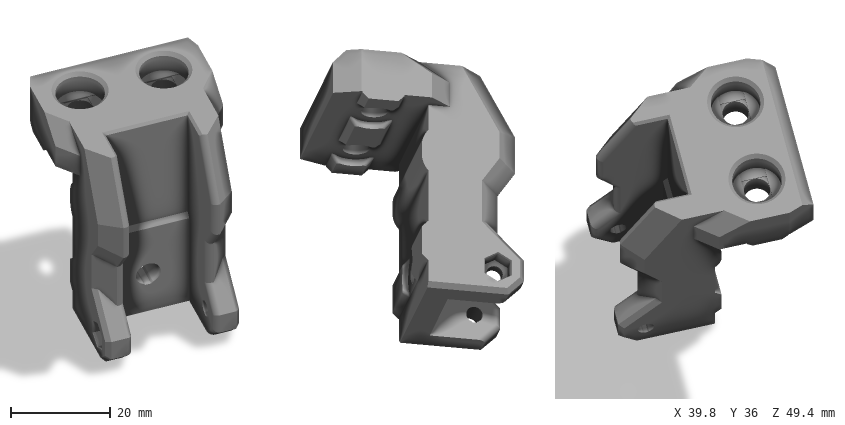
import cadquery as cq
import math

HEIGHT = 49.4
LENGTH = 39.75
HEAD_WIDTH = 36.0

BODY_WIDTH = 28.75
FRONT_X = 19.95
WEB_BACK_X = 24.1
LEDGE_DEPTH = 1.0
CHANNEL_WIDTH = 17.6
CHANNEL_CHAMFER = 0.55

CHEEK_BEVEL = 4.0
LUG_CHAMFER = 1.0
INNER_FILLET = 1.25
CHEEK_TOP_X = 31.4
CHEEK_NOSE_X = 38.6
CHEEK_NOSE_TOP_Z = 36.45
CHEEK_NOSE_BOTTOM_Z = 28.45
CHEEK_WAIST_X = 34.98
CHEEK_WAIST_Z = 23.1
LUG_TOP_Z = 7.85
LUG_FOOT = 3.2
OVERRUN = 9.9

HEAD_BOTTOM_Z = 40.05
HEAD_NOSE_CHAMFER = 2.5
HEAD_CORNER_X = 5.45
HEAD_CORNER_Y = 2.0
HEAD_BACK_X = 24.4
HEAD_BACK_CHAMFER = 4.0

HEAD_RIB_HEIGHT = 1.5
FRONT_RIB_HEIGHT = 1.35
RECESS_STEP = 0.1
RECESS_EDGE = 0.5
RIB_WIDTH = 8.6
RIB_CHAMFER = 1.25
BOLT_OFFSET = 10.0
BOLT_DIAMETER = 5.3
BOLT_SPACING = 18.0
BOLT_POSITIONS = [-BOLT_SPACING / 2, BOLT_SPACING / 2]
RECESS_DIAMETER = 10.0
COUNTERBORE_DEPTH = 4.6
COUNTERBORE_CHAMFER = 0.75
BRIDGE_STEP = 0.2

RIDGE_Z = 30.05
RIDGE_FLAT = 2.15
RIDGE_RADIUS = 5.0
RIDGE_HEIGHT = 1.35

PIN_X = 34.3
PIN_Z = 5.55
PIN_DIAMETER = 3.35
NUT_FLATS = 5.35
NUT_CHAMFER = 0.15
NUT_CHAMFER_DEPTH = 0.4
NUT_DEPTH = 3.45

GROOVE_REACH = 1.07
GROOVE_HALF_WIDTH = 0.24

HALF_BODY = BODY_WIDTH / 2
HALF_HEAD = HEAD_WIDTH / 2
HALF_CHANNEL = CHANNEL_WIDTH / 2


def block(x0, x1, y0, y1, z0, z1):
    return cq.Workplane("XY").box(x1 - x0, y1 - y0, z1 - z0, centered=False).translate((x0, y0, z0))


def side_prism(points, y0, y1):
    """Extrude an XZ outline from y0 to y1."""
    return cq.Workplane("XZ", origin=(0, y1, 0)).polyline(points).close().extrude(y1 - y0)


def make_cheek():
    """The cheek on the +Y side, with its lug."""
    slope = (CHEEK_NOSE_X - CHEEK_TOP_X) / (HEIGHT - CHEEK_NOSE_TOP_Z)
    left = FRONT_X - OVERRUN
    plate = side_prism(
        [
            (left, PIN_Z),
            (CHEEK_WAIST_X, PIN_Z),
            (CHEEK_WAIST_X, CHEEK_WAIST_Z),
            (CHEEK_NOSE_X, CHEEK_NOSE_BOTTOM_Z),
            (CHEEK_NOSE_X, CHEEK_NOSE_TOP_Z),
            (CHEEK_TOP_X - slope * OVERRUN, HEIGHT + OVERRUN),
            (left, HEIGHT + OVERRUN),
        ],
        HALF_CHANNEL,
        HALF_BODY,
    )
    plate = plate.faces(">Y").edges().chamfer(CHEEK_BEVEL)
    plate = plate.faces("<Y").edges().fillet(INNER_FILLET)

    slope_top_z = LUG_TOP_Z + LENGTH - WEB_BACK_X
    lug = side_prism(
        [
            (left, 0),
            (LENGTH - LUG_FOOT, 0),
            (LENGTH, LUG_FOOT),
            (LENGTH, LUG_TOP_Z),
            (WEB_BACK_X, slope_top_z),
            (left, slope_top_z),
        ],
        HALF_CHANNEL,
        HALF_BODY,
    )
    lug = lug.faces(">Y").edges().chamfer(LUG_CHAMFER)
    lug = lug.faces("<Y").edges("not(<Z)").fillet(INNER_FILLET)
    return plate.union(lug).intersect(block(FRONT_X, LENGTH, 0, HALF_BODY, 0, HEIGHT))


def make_upright():
    web = block(FRONT_X, WEB_BACK_X, -HALF_BODY, HALF_BODY, 0, HEIGHT)
    web = web.edges("|X and <Z").chamfer(LUG_CHAMFER)
    ledge_outline = [
        (FRONT_X, 0),
        (WEB_BACK_X + LEDGE_DEPTH, 0),
        (WEB_BACK_X + LEDGE_DEPTH, CHEEK_WAIST_Z - LEDGE_DEPTH),
        (WEB_BACK_X, CHEEK_WAIST_Z),
        (FRONT_X, CHEEK_WAIST_Z),
    ]
    ledge = side_prism(ledge_outline, -HALF_CHANNEL, HALF_CHANNEL)
    cheek = make_cheek()
    return web.union(ledge).union(cheek).union(cheek.mirror("XZ"))


def channel_flare():
    """Cutter for the chamfer round the top of the channel."""
    return (
        cq.Workplane("XY", origin=(0, 0, HEIGHT))
        .center(WEB_BACK_X - CHANNEL_CHAMFER + LENGTH / 2, 0)
        .rect(LENGTH, CHANNEL_WIDTH + 2 * CHANNEL_CHAMFER)
        .extrude(-CHANNEL_CHAMFER, taper=45)
    )


def make_head():
    corner = HALF_HEAD - HEAD_CORNER_Y
    outline = [
        (0, corner),
        (HEAD_CORNER_X, HALF_HEAD),
        (FRONT_X, HALF_HEAD),
        (HEAD_BACK_X, HALF_BODY),
    ]
    outline += [(x, -y) for x, y in reversed(outline)]
    head = cq.Workplane("XY", origin=(0, 0, HEAD_BOTTOM_Z)).polyline(outline).close()
    head = head.extrude(HEIGHT - HEAD_BOTTOM_Z)
    head = head.faces(">Z").edges("<X").chamfer(HEAD_NOSE_CHAMFER)
    mid_x = (FRONT_X + HEAD_BACK_X) / 2
    mid_y = (HALF_HEAD + HALF_BODY) / 2
    for y in (-mid_y, mid_y):
        back_edge = cq.selectors.NearestToPointSelector((mid_x, y, HEIGHT))
        head = head.edges(back_edge).chamfer(HEAD_BACK_CHAMFER)
    head = head.union(block(BOLT_OFFSET, WEB_BACK_X, -HALF_BODY, HALF_BODY, HEAD_BOTTOM_Z, HEIGHT))
    return head.cut(block(WEB_BACK_X, LENGTH, -HALF_CHANNEL, HALF_CHANNEL, 0, HEIGHT))


def make_rib(length, height, bolt_positions):
    """A rib along Y that stands on z=0, with a round recess at each bolt."""
    rib = cq.Workplane("XY").box(RIB_WIDTH, length, height, centered=(True, True, False))
    rib = rib.faces(">Z").edges("|Y").chamfer(RIB_CHAMFER)
    radius = RECESS_DIAMETER / 2
    flank_x = (RIB_WIDTH - RIB_CHAMFER) / 2
    flank_z = height - RIB_CHAMFER / 2
    flank_y = math.sqrt(radius**2 - flank_x**2)
    for bolt_y in bolt_positions:
        rib = rib.cut(cq.Workplane("XY", origin=(0, bolt_y, 0)).circle(radius).extrude(height))
        for x in (-flank_x, flank_x):
            for y in (bolt_y - flank_y, bolt_y + flank_y):
                edge = cq.selectors.NearestToPointSelector((x, y, flank_z))
                rib = rib.edges(edge).fillet(RECESS_EDGE)
    return rib


def make_ridge():
    half_flat = RIDGE_FLAT / 2
    drop = math.sqrt(RIDGE_RADIUS**2 - (RIDGE_RADIUS - RIDGE_HEIGHT) ** 2)
    crest_x = FRONT_X - RIDGE_HEIGHT
    top = RIDGE_Z + half_flat
    bottom = RIDGE_Z - half_flat
    return (
        cq.Workplane("XZ", origin=(0, HALF_BODY, 0))
        .moveTo(FRONT_X, bottom - drop)
        .radiusArc((crest_x, bottom), RIDGE_RADIUS)
        .lineTo(crest_x, top)
        .radiusArc((FRONT_X, top + drop), RIDGE_RADIUS)
        .close()
        .extrude(BODY_WIDTH)
    )


def grooved_hole(plane, radius, length):
    """Round hole with a narrow groove along its lowest line, flat below and with 45 degree sides."""
    low = radius * GROOVE_REACH
    half_flat = radius * GROOVE_HALF_WIDTH
    rise = half_flat
    groove = (
        plane.moveTo(-half_flat, -low)
        .lineTo(half_flat, -low)
        .lineTo(half_flat + rise, rise - low)
        .lineTo(-half_flat - rise, rise - low)
        .close()
        .extrude(length)
    )
    return plane.circle(radius).extrude(length).union(groove)


def hexagon(across_flats):
    return cq.Workplane("XY").polygon(6, across_flats / math.cos(math.pi / 6))


def head_bolt_hole(y):
    floor_z = HEIGHT - COUNTERBORE_DEPTH
    hole = cq.Workplane("XY").circle(BOLT_DIAMETER / 2).extrude(HEIGHT)
    bore = cq.Workplane("XY", origin=(0, 0, floor_z)).circle(RECESS_DIAMETER / 2).extrude(COUNTERBORE_DEPTH)
    mouth = (
        cq.Workplane("XY", origin=(0, 0, HEIGHT))
        .circle(RECESS_DIAMETER / 2 + COUNTERBORE_CHAMFER)
        .extrude(-COUNTERBORE_CHAMFER, taper=45)
    )
    half = BOLT_DIAMETER / 2
    slot = block(-half, half, -RECESS_DIAMETER, RECESS_DIAMETER, floor_z - BRIDGE_STEP, floor_z)
    slot = slot.intersect(cq.Workplane("XY").circle(RECESS_DIAMETER / 2).extrude(HEIGHT))
    square = block(-half, half, -half, half, floor_z - 2 * BRIDGE_STEP, floor_z)
    tool = hole.union(bore).union(mouth).union(slot).union(square)
    return tool.translate((BOLT_OFFSET, y, 0))


def make_head_ribs():
    rib = make_rib(HEAD_WIDTH, HEAD_RIB_HEIGHT, BOLT_POSITIONS).rotate((0, 0, 0), (0, 1, 0), 180)
    return rib.translate((BOLT_OFFSET, 0, HEAD_BOTTOM_Z))


def make_front_rib():
    rib = make_rib(BODY_WIDTH, FRONT_RIB_HEIGHT, [0])
    recess_floor = cq.Workplane("XY").box(RIB_WIDTH, BODY_WIDTH, RECESS_STEP, centered=(True, True, False))
    rib = rib.union(recess_floor).rotate((0, 0, 0), (0, 1, 0), -90)
    return rib.translate((FRONT_X, 0, BOLT_OFFSET))


front_bolt = cq.Workplane("YZ", origin=(0, 0, BOLT_OFFSET))
front_bolt = grooved_hole(front_bolt, BOLT_DIAMETER / 2, LENGTH)

pin_plane = cq.Workplane("XZ", origin=(PIN_X, HALF_BODY, PIN_Z))
pin = grooved_hole(pin_plane, PIN_DIAMETER / 2, BODY_WIDTH)

mouth_taper = math.degrees(math.atan(NUT_CHAMFER / NUT_CHAMFER_DEPTH))
nut = hexagon(NUT_FLATS).extrude(NUT_DEPTH)
nut_mouth = hexagon(NUT_FLATS + 2 * NUT_CHAMFER).extrude(NUT_CHAMFER_DEPTH, taper=mouth_taper)
nut = nut.union(nut_mouth).rotate((0, 0, 0), (0, 0, 1), 30).rotate((0, 0, 0), (1, 0, 0), -90)
nut = nut.translate((PIN_X, -HALF_BODY, PIN_Z))

head = make_head().union(make_head_ribs())
for bolt_y in BOLT_POSITIONS:
    head = head.cut(head_bolt_hole(bolt_y))

result = make_upright().union(head).union(make_front_rib()).union(make_ridge())
result = result.cut(channel_flare()).cut(front_bolt).cut(pin).cut(nut)